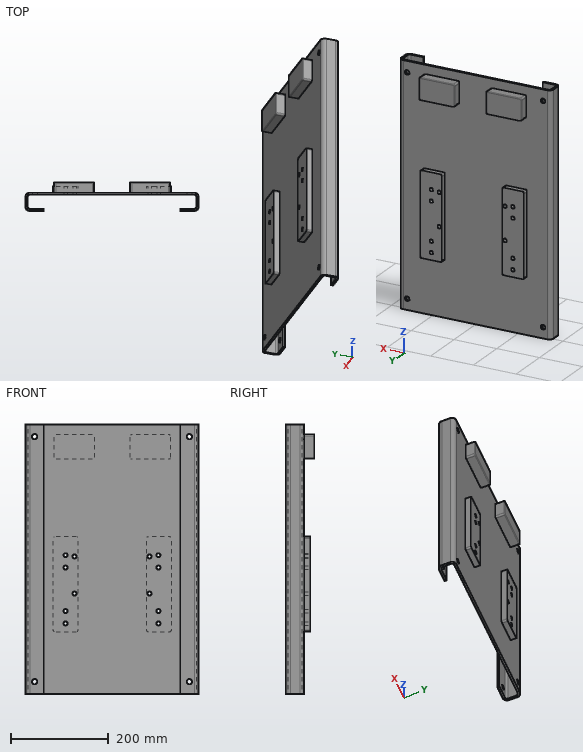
import cadquery as cq

WIDTH = 355.6
HEIGHT = 553.47
CHANNEL_DEPTH = 38.1
LIP_WIDTH = 38.1
SHEET = 4.76
BEND_OUTER_RADIUS = 2 * SHEET

TOTAL_DEPTH = 59.18
BLOCK_WIDTH = 82.55
BLOCK_HEIGHT = 50.8
BLOCK_DEPTH = TOTAL_DEPTH - CHANNEL_DEPTH
BLOCK_CENTER_X = 78.1
BLOCK_TOP_MARGIN = 20.4
BLOCK_EDGE_FILLET = 1.6

PAD_WIDTH = 50.8
PAD_HEIGHT = 195.0
PAD_DEPTH = 12.7
PAD_OUTER_X = 121.2
PAD_BOTTOM_Z = 128.3

CORNER_RADIUS = 3.6

MOUNT_HOLE_DIAMETER = 10.41
MOUNT_INSET_X = 19.05
MOUNT_INSET_Z = 25.4

PAD_HOLE_DIAMETER = 7.8
OUTER_HOLE_X = 95.25
OUTER_PAIR_PITCH = 25.4
OUTER_PAIR_BOTTOMS = (144.9, 259.5)
INNER_HOLE_X = 76.9
INNER_HOLE_PITCH = 76.2
INNER_HOLE_BOTTOM = 206.2

SIDES = (-1, 1)


def channel():
    """C-shaped sheet with concentric bends; the web's back face is at Y = 0."""
    mouth_width = WIDTH - 2 * LIP_WIDTH
    outer = (
        cq.Workplane("XY")
        .rect(WIDTH, CHANNEL_DEPTH)
        .extrude(HEIGHT)
        .edges("|Z")
        .fillet(BEND_OUTER_RADIUS)
    )
    inner = (
        cq.Workplane("XY")
        .rect(WIDTH - 2 * SHEET, CHANNEL_DEPTH - 2 * SHEET)
        .extrude(HEIGHT)
        .edges("|Z")
        .fillet(BEND_OUTER_RADIUS - SHEET)
    )
    mouth = (
        cq.Workplane("XY")
        .center(0, -CHANNEL_DEPTH / 2)
        .rect(mouth_width, CHANNEL_DEPTH)
        .extrude(HEIGHT)
    )
    return outer.cut(inner).cut(mouth).translate((0, -CHANNEL_DEPTH / 2, 0))


def back_plate(center_x, center_z, width, height, depth):
    """Plate standing on the back of the web, with rounded corners."""
    return (
        cq.Workplane("XZ", origin=(center_x, 0, center_z))
        .rect(width, height)
        .extrude(-depth)
        .edges("|Y")
        .fillet(CORNER_RADIUS)
    )


def block(side):
    """Upper block with a rounded rim on its back face."""
    center_z = HEIGHT - BLOCK_TOP_MARGIN - BLOCK_HEIGHT / 2
    plate = back_plate(side * BLOCK_CENTER_X, center_z, BLOCK_WIDTH, BLOCK_HEIGHT, BLOCK_DEPTH)
    return plate.faces(">Y").edges().fillet(BLOCK_EDGE_FILLET)


def pad(side):
    """Tall lower pad, drilled together with the web."""
    center_x = side * (PAD_OUTER_X - PAD_WIDTH / 2)
    center_z = PAD_BOTTOM_Z + PAD_HEIGHT / 2
    return back_plate(center_x, center_z, PAD_WIDTH, PAD_HEIGHT, PAD_DEPTH)


def through_holes(points, diameter):
    """Cylinders along Y at the given (x, z) points, spanning the whole depth."""
    return (
        cq.Workplane("XZ", origin=(0, -CHANNEL_DEPTH, 0))
        .pushPoints(points)
        .circle(diameter / 2)
        .extrude(-TOTAL_DEPTH)
    )


def mount_hole_points():
    x = WIDTH / 2 - MOUNT_INSET_X
    heights = (MOUNT_INSET_Z, HEIGHT - MOUNT_INSET_Z)
    return [(side * x, z) for side in SIDES for z in heights]


def pad_hole_points():
    points = []
    for side in SIDES:
        for bottom in OUTER_PAIR_BOTTOMS:
            points.append((side * OUTER_HOLE_X, bottom))
            points.append((side * OUTER_HOLE_X, bottom + OUTER_PAIR_PITCH))
        points.append((side * INNER_HOLE_X, INNER_HOLE_BOTTOM))
        points.append((side * INNER_HOLE_X, INNER_HOLE_BOTTOM + INNER_HOLE_PITCH))
    return points


result = channel()
for side in SIDES:
    result = result.union(block(side)).union(pad(side))
result = result.cut(through_holes(mount_hole_points(), MOUNT_HOLE_DIAMETER))
result = result.cut(through_holes(pad_hole_points(), PAD_HOLE_DIAMETER))